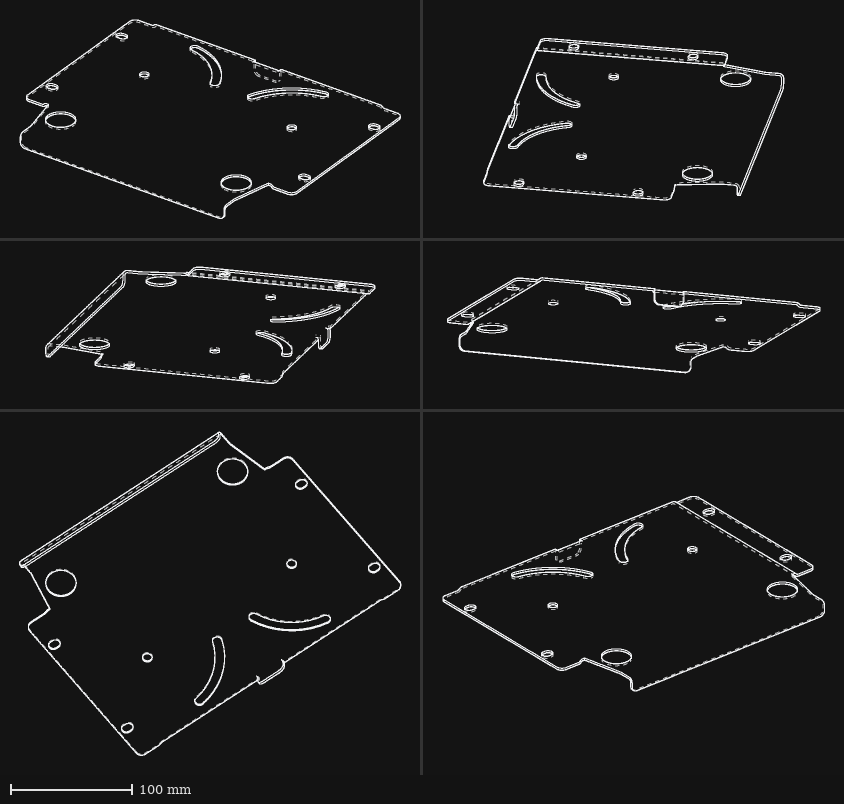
import cadquery as cq
import math

length = 271.5
depth = 209.0
height = 13.0
sheet = 2.0
inner_radius = 2.0
outer_radius = inner_radius + sheet

flange_front = 52.0
flange_width = 18.7
flange_drop = sheet
flange_corner_radius = 5.5

taper_back_half_width = 110.8
lip_half_width = 102.5
taper_front = 15.2

lip_corner_radius = 5.0
tab_width = 25.8

hole_diameter = 8.0
pivot_x = 74.5
pivot_y = 137.5
large_hole_diameter = 25.0
large_hole_x = 88.5
large_hole_y = 37.7
mount_slot_length = 10.0
mount_slot_x = 127.3
mount_slot_ys = (80.4, 180.3)
arc_slot_radius = 59.7
arc_slot_start = 21.5
arc_slot_end = 81.0

bend_radii = inner_radius + outer_radius
joggle_angle = math.acos(1 - flange_drop / bend_radii)
joggle_width = bend_radii * math.sin(joggle_angle)
joggle_outer_x = length / 2 - flange_width
joggle_inner_x = joggle_outer_x - joggle_width


def on_circle(center_x, center_y, radius, angle):
    return (center_x + radius * math.cos(angle), center_y + radius * math.sin(angle))


def both_sides(solid):
    return solid.union(solid.mirror("YZ"))


def plate():
    return (
        cq.Workplane("XY")
        .moveTo(-joggle_inner_x, depth)
        .lineTo(-joggle_inner_x, flange_front)
        .lineTo(-taper_back_half_width, flange_front)
        .lineTo(-lip_half_width, taper_front)
        .lineTo(-lip_half_width, outer_radius)
        .lineTo(lip_half_width, outer_radius)
        .lineTo(lip_half_width, taper_front)
        .lineTo(taper_back_half_width, flange_front)
        .lineTo(joggle_inner_x, flange_front)
        .lineTo(joggle_inner_x, depth)
        .lineTo(tab_width / 2, depth)
        .lineTo(tab_width / 2, depth - outer_radius)
        .lineTo(-tab_width / 2, depth - outer_radius)
        .lineTo(-tab_width / 2, depth)
        .close()
        .extrude(-sheet)
    )


def side_flange():
    """Right-hand flange: the joggle section run along Y, with rounded outer corners."""
    upper_z = -outer_radius
    lower_z = inner_radius - flange_drop
    half_angle = joggle_angle / 2
    upper_start = math.pi / 2
    upper_mid = upper_start - half_angle
    upper_end = upper_start - joggle_angle
    lower_start = upper_end + math.pi
    lower_mid = lower_start + half_angle

    def upper_bend(radius, angle):
        return on_circle(joggle_inner_x, upper_z, radius, angle)

    def lower_bend(radius, angle):
        return on_circle(joggle_outer_x, lower_z, radius, angle)

    return (
        cq.Workplane("XZ", origin=(0, flange_front, 0))
        .moveTo(joggle_inner_x, 0)
        .threePointArc(upper_bend(outer_radius, upper_mid), upper_bend(outer_radius, upper_end))
        .threePointArc(lower_bend(inner_radius, lower_mid), (joggle_outer_x, -flange_drop))
        .lineTo(length / 2, -flange_drop)
        .lineTo(length / 2, -flange_drop - sheet)
        .lineTo(joggle_outer_x, -flange_drop - sheet)
        .threePointArc(lower_bend(outer_radius, lower_mid), lower_bend(outer_radius, lower_start))
        .threePointArc(upper_bend(inner_radius, upper_mid), (joggle_inner_x, -sheet))
        .close()
        .extrude(flange_front - depth)
        .edges("|Z and >X")
        .fillet(flange_corner_radius)
    )


def bent_lip(width):
    """Lip bent down from the plate, with its outer face on Y = 0 and rounded lower corners."""
    mid_angle = math.radians(135)
    return (
        cq.Workplane("YZ", origin=(-width / 2, 0, 0))
        .moveTo(outer_radius, 0)
        .threePointArc(
            on_circle(outer_radius, -outer_radius, outer_radius, mid_angle),
            (0, -outer_radius),
        )
        .lineTo(0, -height)
        .lineTo(sheet, -height)
        .lineTo(sheet, -outer_radius)
        .threePointArc(
            on_circle(outer_radius, -outer_radius, inner_radius, mid_angle),
            (outer_radius, -sheet),
        )
        .close()
        .extrude(width)
        .edges("|Y and <Z")
        .fillet(lip_corner_radius)
    )


def arc_slot():
    """Slot with round ends, curved about the left-hand pivot hole."""
    start = math.radians(arc_slot_start)
    end = math.radians(arc_slot_end)
    middle = (start + end) / 2
    inner = arc_slot_radius - hole_diameter / 2
    outer = arc_slot_radius + hole_diameter / 2

    def point(radius, angle):
        return on_circle(-pivot_x, pivot_y, radius, angle)

    band = (
        cq.Workplane("XY")
        .moveTo(*point(inner, start))
        .threePointArc(point(inner, middle), point(inner, end))
        .lineTo(*point(outer, end))
        .threePointArc(point(outer, middle), point(outer, start))
        .close()
        .extrude(-height)
    )
    ends = [point(arc_slot_radius, start), point(arc_slot_radius, end)]
    return band.union(cq.Workplane("XY").pushPoints(ends).circle(hole_diameter / 2).extrude(-height))


def left_openings():
    pivot_hole = cq.Workplane("XY").center(-pivot_x, pivot_y).circle(hole_diameter / 2).extrude(-height)
    large_hole = (
        cq.Workplane("XY")
        .center(-large_hole_x, large_hole_y)
        .circle(large_hole_diameter / 2)
        .extrude(-height)
    )
    mount_slots = (
        cq.Workplane("XY")
        .pushPoints([(-mount_slot_x, y) for y in mount_slot_ys])
        .slot2D(mount_slot_length, hole_diameter)
        .extrude(-height)
    )
    return arc_slot().union(pivot_hole).union(large_hole).union(mount_slots)


front_lip = bent_lip(2 * lip_half_width)
rear_tab = bent_lip(tab_width).mirror("XZ").translate((0, depth, 0))

result = (
    plate()
    .union(both_sides(side_flange()))
    .union(front_lip)
    .union(rear_tab)
    .cut(both_sides(left_openings()))
)